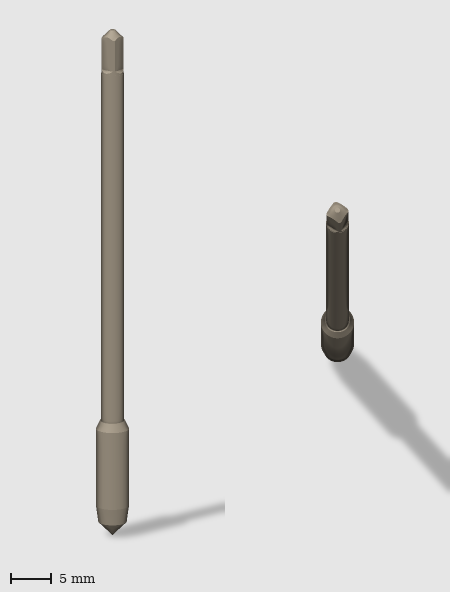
import cadquery as cq

total_length = 64.45
point_height = 1.75
nose_top = 3.8
collar_top = 13.6
sleeve_top = 14.6
shaft_top = 59.0

shaft_diameter = 2.8
shank_diameter = 2.7
sleeve_diameter = 4.05
sleeve_top_diameter = 3.1
nose_diameter = 3.5

drive_width = 2.1
flat_bottom = 59.5
flat_runout = 0.3
crown_height = 1.0
crown_diameter = 0.65

socket_floor = nose_top


def make_sleeve():
    """Pointed sleeve with a tapered shoulder and a blind socket for the shaft."""
    profile = (
        cq.Workplane("XZ")
        .moveTo(0, 0)
        .lineTo(nose_diameter / 2, point_height)
        .lineTo(sleeve_diameter / 2, nose_top)
        .lineTo(sleeve_diameter / 2, collar_top)
        .lineTo(sleeve_top_diameter / 2, sleeve_top)
        .lineTo(0, sleeve_top)
        .close()
    )
    body = profile.revolve(360, (0, 0), (0, 1))
    socket = (
        cq.Workplane("XY", origin=(0, 0, socket_floor))
        .circle(shaft_diameter / 2)
        .extrude(sleeve_top - socket_floor)
    )
    return body.cut(socket)


def make_flat_cutter():
    """Prism that mills one drive flat and ends in a sloped runout."""
    inner = drive_width / 2
    outer = shaft_diameter
    runout_drop = flat_runout * (outer - inner) / ((shank_diameter - drive_width) / 2)
    return (
        cq.Workplane("XZ")
        .moveTo(inner, total_length)
        .lineTo(inner, flat_bottom)
        .lineTo(outer, flat_bottom - runout_drop)
        .lineTo(outer, total_length)
        .close()
        .extrude(shaft_diameter, both=True)
    )


def make_shaft():
    """Round shaft with a narrower crowned shank carrying four drive flats."""
    crown_base = total_length - crown_height
    profile = (
        cq.Workplane("XZ")
        .moveTo(0, socket_floor)
        .lineTo(shaft_diameter / 2, socket_floor)
        .lineTo(shaft_diameter / 2, shaft_top)
        .lineTo(shank_diameter / 2, shaft_top)
        .lineTo(shank_diameter / 2, crown_base)
        .lineTo(crown_diameter / 2, total_length)
        .lineTo(0, total_length)
        .close()
    )
    shaft = profile.revolve(360, (0, 0), (0, 1))
    for angle in range(0, 360, 90):
        shaft = shaft.cut(make_flat_cutter().rotate((0, 0, 0), (0, 0, 1), angle))
    return shaft


sleeve = make_sleeve()
shaft = make_shaft()

result = cq.Compound.makeCompound([sleeve.val(), shaft.val()])